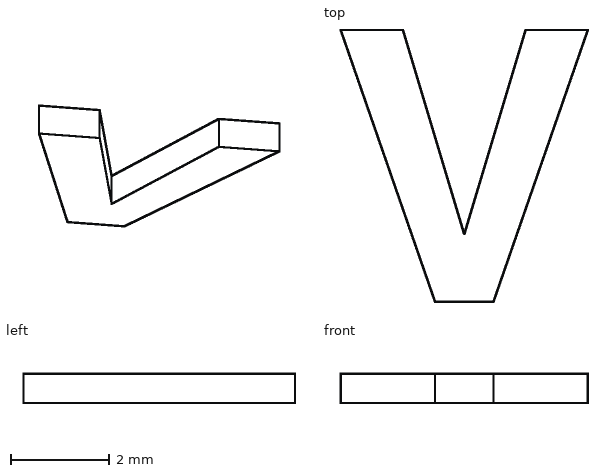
import cadquery as cq

width = 5.03
height = 5.53
thickness = 0.6

arm_end_width = 1.27
foot_width = 1.19
notch_height = 1.38

half_width = width / 2
half_foot = foot_width / 2
half_opening = half_width - arm_end_width
foot_y = -height / 2
arm_end_y = height / 2
notch_y = foot_y + notch_height


def v_plate():
    """V outline, symmetric about the YZ plane, extruded upward from Z = 0."""
    outline = [
        (-half_foot, foot_y),
        (half_foot, foot_y),
        (half_width, arm_end_y),
        (half_opening, arm_end_y),
        (0, notch_y),
        (-half_opening, arm_end_y),
        (-half_width, arm_end_y),
    ]
    return cq.Workplane("XY").polyline(outline).close().extrude(thickness)


result = v_plate()